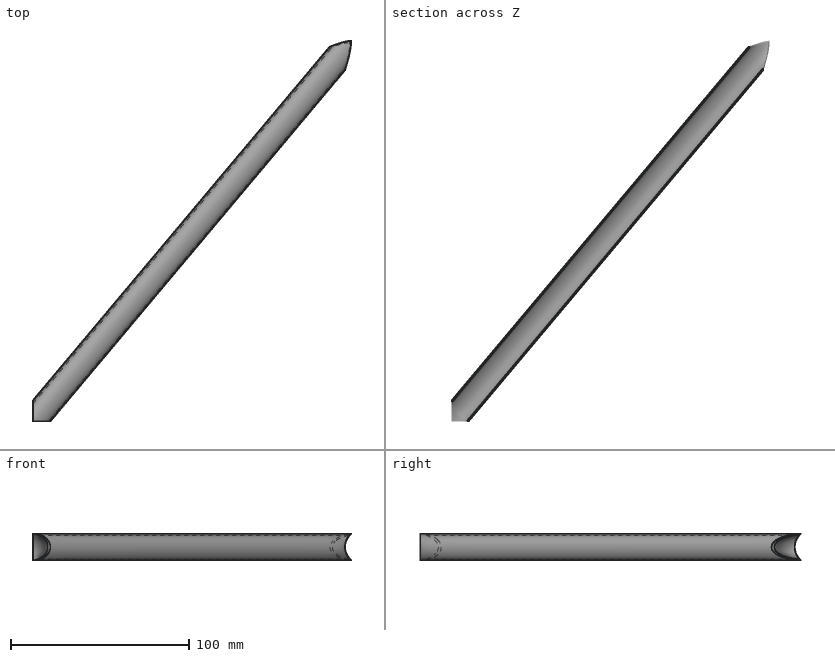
import cadquery as cq
import math

tube_angle = 50.0
tip_x = 178.39
tip_y = 213.36
outer_radius = 7.5
wall = 1.0
mouth_depth = 5.3
cope_radius = 10.0

inner_radius = outer_radius - wall
axis_x = math.cos(math.radians(tube_angle))
axis_y = math.sin(math.radians(tube_angle))
axis = cq.Vector(axis_x, axis_y, 0)
overrun = 4 * outer_radius
rod_length = math.hypot(tip_x, tip_y) + 2 * overrun


def rod(start, direction, radius, length):
    """Solid cylinder from a start point along a direction."""
    return cq.Workplane(cq.Solid.makeCylinder(radius, length, start, direction))


def outer_body():
    """Solid tube stock, squared off at the X = 0 and Y = 0 planes and ended at the tip."""
    stock = rod(axis * -overrun, axis, outer_radius, rod_length)
    limits = cq.Workplane("XY").box(tip_x, tip_y, 2 * outer_radius, centered=(False, False, True))
    return stock.intersect(limits)


def bore():
    """Through bore with a mouth that flares to a sharp lip at the corner end."""
    straight = rod(axis * mouth_depth, axis, inner_radius, rod_length)
    mouth = cq.Solid.makeCone(outer_radius, inner_radius, mouth_depth, cq.Vector(0, 0, 0), axis)
    return straight.union(cq.Workplane(mouth))


def copes():
    """Cylinders along X and Y that scoop out the far end, leaving a tip above and below."""
    setback = math.sqrt(cope_radius**2 - outer_radius**2)
    along_x = rod(cq.Vector(0, tip_y + setback, 0), cq.Vector(1, 0, 0), cope_radius, tip_x + overrun)
    along_y = rod(cq.Vector(tip_x + setback, 0, 0), cq.Vector(0, 1, 0), cope_radius, tip_y + overrun)
    return along_x.union(along_y)


result = outer_body().cut(bore()).cut(copes())